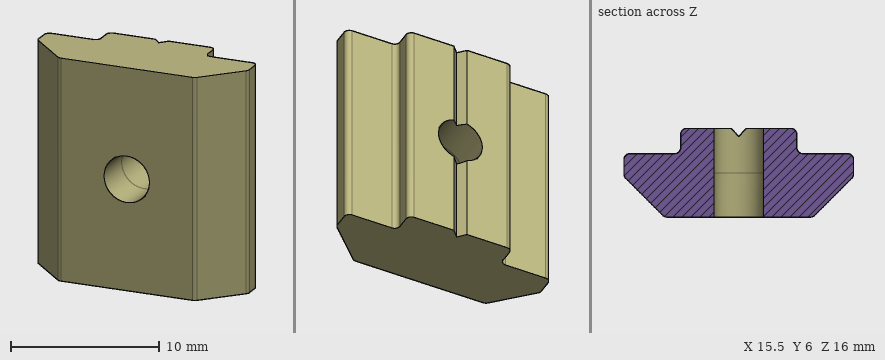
import cadquery as cq

flange_width = 15.5
thickness = 6.0
length = 16.0

stem_width = 7.85
stem_height = 1.7
base_width = 10.0
corner_radius = 0.4

groove_width = 1.0
groove_depth = 0.55

hole_diameter = 3.33

base_y = -thickness / 2
stem_y = thickness / 2
shoulder_y = stem_y - stem_height
flank_height = (flange_width - base_width) / 2
flank_y = base_y + flank_height


def make_body():
    """Extrude the symmetric T-shaped section along Z and round its long edges."""
    right_half = [
        (base_width / 2, base_y),
        (flange_width / 2, flank_y),
        (flange_width / 2, shoulder_y),
        (stem_width / 2, shoulder_y),
        (stem_width / 2, stem_y),
    ]
    left_half = [(-x, y) for x, y in reversed(right_half)]
    section = cq.Workplane("XY").polyline(right_half + left_half).close()
    body = section.extrude(length / 2, both=True)
    return body.edges("|Z").fillet(corner_radius)


def make_groove():
    """V-shaped cutter running the full length of the stem face."""
    outline = [
        (-groove_width / 2, stem_y),
        (0, stem_y - groove_depth),
        (groove_width / 2, stem_y),
    ]
    return cq.Workplane("XY").polyline(outline).close().extrude(length / 2, both=True)


def make_hole():
    """Cylinder through the whole thickness at the centre of the nut."""
    return cq.Workplane("XZ").circle(hole_diameter / 2).extrude(thickness, both=True)


result = make_body().cut(make_groove()).cut(make_hole())